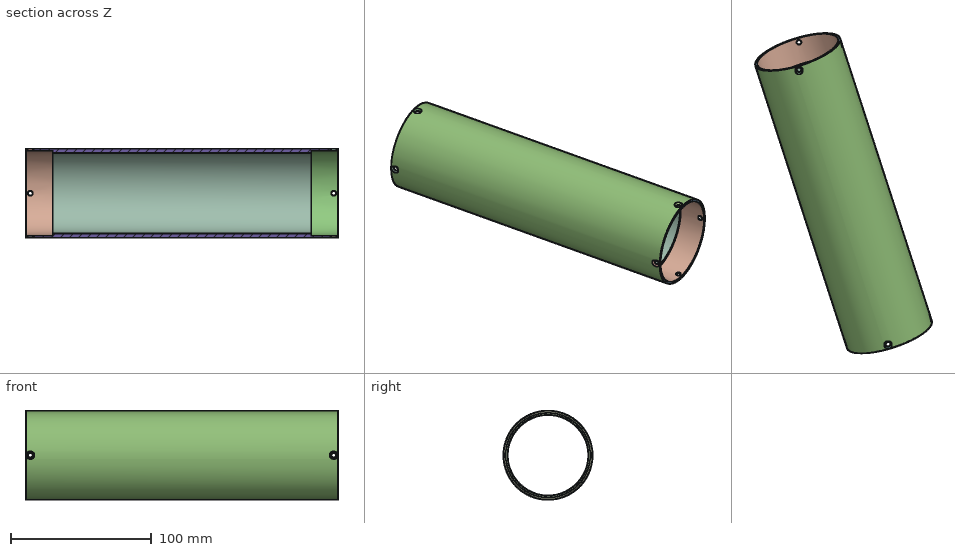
import cadquery as cq
import math

length = 221.9
outer_diameter = 63.5
bore_diameter = 57.15

socket_diameter = 60.2
socket_depth = 19.05

screw_hole_diameter = 3.3
countersink_diameter = 5.7
countersink_angle = 82
hole_edge_distance = 3.175
holes_per_end = 4

outer_radius = outer_diameter / 2


def make_tube():
    """Plain tube with a through bore."""
    return (
        cq.Workplane("YZ")
        .circle(outer_radius)
        .circle(bore_diameter / 2)
        .extrude(length / 2, both=True)
    )


def cut_sockets(body):
    """Widen the bore at both ends."""
    for end in (">X", "<X"):
        body = (
            body.faces(end)
            .workplane(centerOption="CenterOfBoundBox")
            .hole(socket_diameter, socket_depth)
        )
    return body


def make_hole_cutter(x, angle):
    """Drill with a countersink, entering the outer surface at the given angle around X."""
    hole_radius = screw_hole_diameter / 2
    countersink_radius = countersink_diameter / 2
    half_angle = math.radians(countersink_angle / 2)
    countersink_depth = (countersink_radius - hole_radius) / math.tan(half_angle)
    drill = cq.Solid.makeCylinder(hole_radius, outer_radius, cq.Vector(x, 0, 0))
    countersink = cq.Solid.makeCone(
        hole_radius,
        countersink_radius,
        countersink_depth,
        cq.Vector(x, 0, outer_radius - countersink_depth),
    )
    return drill.fuse(countersink).rotate(cq.Vector(0, 0, 0), cq.Vector(1, 0, 0), angle)


def cut_screw_holes(body):
    """Cut a ring of radial countersunk holes near each end."""
    hole_x = length / 2 - hole_edge_distance
    for x in (-hole_x, hole_x):
        for i in range(holes_per_end):
            body = body.cut(cq.Workplane(obj=make_hole_cutter(x, i * 360 / holes_per_end)))
    return body


result = cut_screw_holes(cut_sockets(make_tube()))